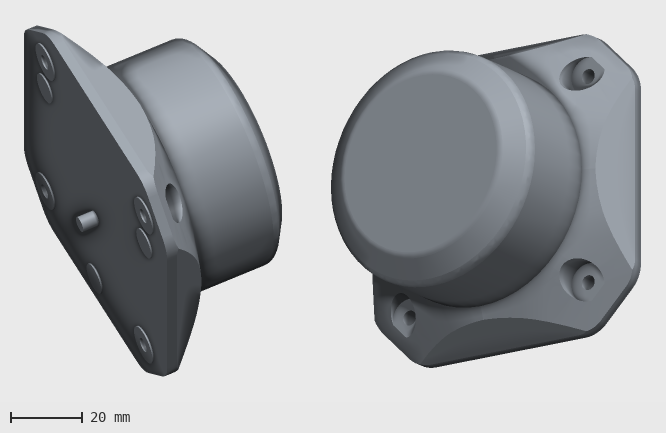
import cadquery as cq
import math


PLATE_WIDTH = 87.5
PLATE_THICKNESS = 3.0
CORNER_CHAMFER = 14.5
CORNER_RADIUS = 10.0

FLANGE_TOP = 15.0
SIDE_TAPER = 29.0

DRUM_RADIUS = 34.0
DRUM_TOP = 45.0
RIM_BEVEL_WIDTH = 7.5
RIM_BEVEL_HEIGHT = 5.0
RIM_FILLET = 3.0

BOLT_CIRCLE_DIAMETER = 85.0
HOLE_DIAMETER = 4.3
SEAT_DIAMETER = 11.2
SEAT_LEVEL = 6.0

PAD_HEIGHT = 0.5
FOOT_PAD_DIAMETER = 9.0
FOOT_PAD_CIRCLE_RADIUS = 35.0
FOOT_PAD_ANGLES = (30, 150, 270)

PIN_DIAMETER = 4.5
PIN_LENGTH = 5.0
PIN_Z = -7.0

HOLE_OFFSET = BOLT_CIRCLE_DIAMETER / 2 * math.sqrt(0.5)
CORNER_REACH = PLATE_WIDTH - CORNER_CHAMFER
HOLE_CENTERS = [(sx * HOLE_OFFSET, sz * HOLE_OFFSET) for sx in (-1, 1) for sz in (-1, 1)]


def plane_at(y):
    """XZ sketch plane at height y, with its normal along +Y and local y along -Z."""
    return cq.Workplane(cq.Plane(origin=(0, y, 0), xDir=(1, 0, 0), normal=(0, 1, 0)))


def cylinder(center, diameter, y_start, y_end):
    """Cylinder parallel to Y, centred at center = (x, z)."""
    x, z = center
    return plane_at(y_start).center(x, -z).circle(diameter / 2).extrude(y_end - y_start)


def outline_prism(y_start, y_end):
    """Square prism with chamfered corners, every edge along Y rounded."""
    return (
        plane_at(y_start)
        .rect(PLATE_WIDTH, PLATE_WIDTH)
        .extrude(y_end - y_start)
        .edges("|Y")
        .chamfer(CORNER_CHAMFER)
        .edges("|Y")
        .fillet(CORNER_RADIUS)
    )


def corner_transition():
    """Ruled body from a diamond, with sides on the plate's corner flats, to the drum circle."""
    compass = [(1, 0), (0, 1), (-1, 0), (0, -1)]
    diamond_points = [cq.Vector(CORNER_REACH * x, PLATE_THICKNESS, CORNER_REACH * z) for x, z in compass]
    diamond = cq.Wire.makePolygon(diamond_points, close=True)

    def on_circle(degrees):
        angle = math.radians(degrees)
        return cq.Vector(DRUM_RADIUS * math.cos(angle), FLANGE_TOP, DRUM_RADIUS * math.sin(angle))

    arcs = [
        cq.Edge.makeThreePointArc(on_circle(start), on_circle(start + 45), on_circle(start + 90))
        for start in range(0, 360, 90)
    ]
    circle = cq.Wire.assembleEdges(arcs)
    return cq.Workplane(cq.Solid.makeLoft([diamond, circle], True))


def make_flange():
    """Transition body trimmed by the four tapered sides and the rounded plate outline."""
    tapered_block = (
        plane_at(PLATE_THICKNESS)
        .rect(PLATE_WIDTH, PLATE_WIDTH)
        .extrude(FLANGE_TOP - PLATE_THICKNESS, taper=SIDE_TAPER)
    )
    outline = outline_prism(PLATE_THICKNESS, FLANGE_TOP)
    return corner_transition().intersect(tapered_block).intersect(outline)


def make_drum():
    """Drum with a bevelled rim, both edges of the bevel rounded."""
    drum = cylinder((0, 0), 2 * DRUM_RADIUS, PLATE_THICKNESS, DRUM_TOP)
    drum = drum.faces(">Y").chamfer(RIM_BEVEL_HEIGHT, RIM_BEVEL_WIDTH)
    return drum.faces("%CONE").edges("%CIRCLE").fillet(RIM_FILLET)


def add_pads(body):
    """Annular pads around the mounting holes and three foot pads at 120 degrees."""
    for center in HOLE_CENTERS:
        body = body.union(cylinder(center, SEAT_DIAMETER, -PAD_HEIGHT, PLATE_THICKNESS))
    for degrees in FOOT_PAD_ANGLES:
        angle = math.radians(degrees)
        center = (FOOT_PAD_CIRCLE_RADIUS * math.cos(angle), FOOT_PAD_CIRCLE_RADIUS * math.sin(angle))
        body = body.union(cylinder(center, FOOT_PAD_DIAMETER, -PAD_HEIGHT, PLATE_THICKNESS))
    return body


def cut_mounting_holes(body):
    """Through holes with screw-head seats sunk into the flange corners."""
    for center in HOLE_CENTERS:
        body = body.cut(cylinder(center, HOLE_DIAMETER, -PAD_HEIGHT, FLANGE_TOP))
        body = body.cut(cylinder(center, SEAT_DIAMETER, SEAT_LEVEL, FLANGE_TOP))
    return body


body = outline_prism(0, PLATE_THICKNESS).union(make_flange()).union(make_drum())
body = add_pads(body)
body = cut_mounting_holes(body)
pin = cylinder((0, PIN_Z), PIN_DIAMETER, -PIN_LENGTH, PLATE_THICKNESS)
result = body.union(pin)